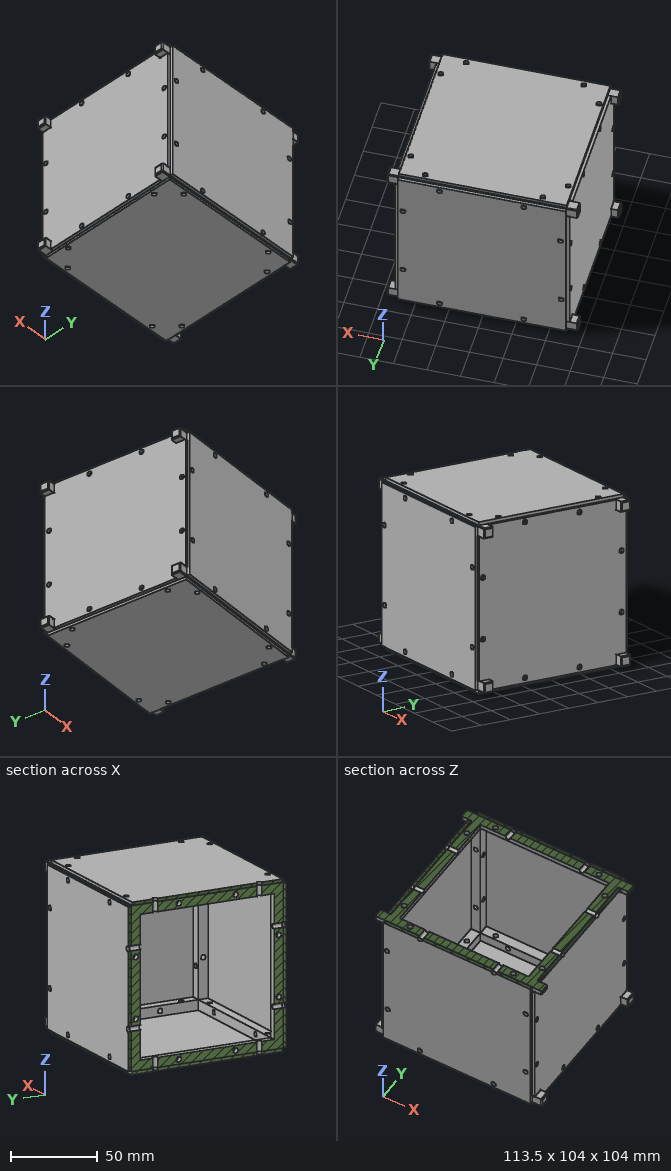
import cadquery as cq
rail_length = 113.5
outer_size = 104.0
frame_size = 100.0
bar_width = 6.4
long_edge_chamfer = 0.6
end_chamfer = 0.7

panel_thickness = (outer_size - frame_size) / 2
panel_length = frame_size
panel_width = 99.0
x_panel_overhang = 0.5

hole_diameter = 3.0
x_panel_half_spacing = 18.6
x_panel_half_row = 47.3
x_hole_shift = 0.5
y_panel_x_half_spacing = 25.1
y_panel_z_half_spacing = 24.2
z_panel_x_half_spacing = 35.1
z_panel_y_half_spacing = 34.0
side_half_row = 46.9
long_edge_half_row = 46.4
odd_hole_shift = 0.5

half_frame = frame_size / 2
bar_offset = half_frame - bar_width / 2
panel_offset = half_frame + panel_thickness / 2
signs = (-1, 1)


def hole_points(u_spacing, v_spacing, u_row, v_row):
    """Eight points: pairs at u = +-u_spacing beside the v edges, and at v = +-v_spacing beside the u edges."""
    points = []
    for row_side in signs:
        for end in signs:
            points.append((end * u_spacing, row_side * v_row))
            points.append((row_side * u_row, end * v_spacing))
    return points


def shift_hole(points, hole, direction):
    """Move one hole of a pattern slightly in a direction."""
    shifted = (hole[0] + direction[0] * odd_hole_shift, hole[1] + direction[1] * odd_hole_shift)
    return [shifted if point == hole else point for point in points]


def drills(plane, points):
    """Cylinders through the whole assembly, normal to a plane."""
    return cq.Workplane(plane).pushPoints(points).circle(hole_diameter / 2).extrude(rail_length, both=True)


x_frame_points = hole_points(x_panel_half_spacing, x_panel_half_spacing, side_half_row, side_half_row)
x_panel_points = hole_points(x_panel_half_spacing, x_panel_half_spacing, x_panel_half_row, side_half_row)
y_points = hole_points(y_panel_x_half_spacing, y_panel_z_half_spacing, side_half_row, long_edge_half_row)
z_points = hole_points(z_panel_x_half_spacing, z_panel_y_half_spacing, side_half_row, long_edge_half_row)


def make_rail(y_side, z_side):
    """Bar along X with chamfered ends and a chamfered outer long edge."""
    rail = cq.Workplane("XY").box(rail_length, bar_width, bar_width)
    outer_edge = cq.selectors.NearestToPointSelector((0, y_side * bar_width, z_side * bar_width))
    rail = rail.edges(outer_edge).chamfer(long_edge_chamfer)
    rail = rail.faces("<X or >X").edges().chamfer(end_chamfer)
    return rail.translate((0, y_side * bar_offset, z_side * bar_offset))


def make_frame():
    """Twelve bars along the edges of a cube, drilled for the panel screws."""
    crossbar_length = frame_size - bar_width
    y_bar = cq.Workplane("XY").box(bar_width, crossbar_length, bar_width)
    z_bar = cq.Workplane("XY").box(bar_width, bar_width, crossbar_length)
    rails = [make_rail(y, z) for y in signs for z in signs]
    crossbars = []
    for x in signs:
        for side in signs:
            crossbars.append(y_bar.translate((x * bar_offset, 0, side * bar_offset)))
            crossbars.append(z_bar.translate((x * bar_offset, side * bar_offset, 0)))
    frame = rails[0]
    for bar in crossbars + rails[1:]:
        frame = frame.union(bar)
    frame = frame.cut(drills("YZ", x_frame_points))
    frame = frame.cut(drills("XZ", y_points))
    return frame.cut(drills("XY", z_points))


def make_x_panel(side):
    """End panel, overhanging the frame at -Y, with its corners cut out around the rails."""
    panel = cq.Workplane("XY").box(panel_thickness, panel_length + x_panel_overhang, panel_length)
    panel = panel.translate((0, -x_panel_overhang / 2, 0))
    points = shift_hole(x_panel_points, (-x_panel_half_spacing, side_half_row), (0, 1))
    holes = drills("YZ", points).translate((0, -x_hole_shift, 0))
    corners = [(y * bar_offset - x_panel_overhang / 2, z * bar_offset) for y in signs for z in signs]
    notches = (
        cq.Workplane("YZ")
        .pushPoints(corners)
        .rect(bar_width + x_panel_overhang, bar_width)
        .extrude(rail_length, both=True)
    )
    return panel.cut(notches).cut(holes).translate((side * panel_offset, 0, 0))


def make_y_panel():
    """Panel on the -Y face, with its upper left hole slightly outward."""
    panel = cq.Workplane("XY").box(panel_length, panel_thickness, panel_width)
    points = shift_hole(y_points, (-side_half_row, y_panel_z_half_spacing), (-1, 0))
    return panel.cut(drills("XZ", points)).translate((0, -panel_offset, 0))


def make_z_panel():
    """Panel on the +Z face, with its -X, -Y hole slightly outward."""
    panel = cq.Workplane("XY").box(panel_length, panel_width, panel_thickness)
    points = shift_hole(z_points, (-side_half_row, -z_panel_y_half_spacing), (-1, 0))
    return panel.cut(drills("XY", points)).translate((0, 0, panel_offset))


frame = make_frame()

panels = [make_x_panel(side) for side in signs]
for turn in (0, 180):
    panels.append(make_y_panel().rotate((0, 0, 0), (1, 0, 0), turn))
    panels.append(make_z_panel().rotate((0, 0, 0), (0, 1, 0), turn))

result = cq.Compound.makeCompound([frame.val(), *[panel.val() for panel in panels]])